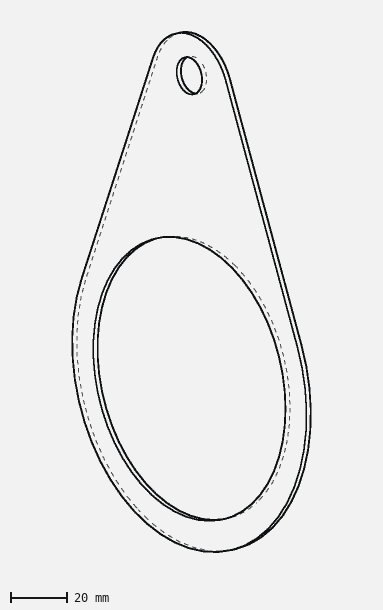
import cadquery as cq
import math

height = 189.8
width = 125.0
thickness = 2.0
tip_radius = 21.0
ring_bore = 102.5
hanging_hole = 13.5
hole_below_top = 15.4

ring_radius = width / 2
top_z = height - ring_radius
tip_z = top_z - tip_radius
hole_z = top_z - hole_below_top

normal_sin = (ring_radius - tip_radius) / tip_z
normal_cos = math.sqrt(1 - normal_sin**2)
ring_tangent = (ring_radius * normal_cos, ring_radius * normal_sin)
tip_tangent = (tip_radius * normal_cos, tip_z + tip_radius * normal_sin)


def mirrored(point):
    return (-point[0], point[1])


def make_plate():
    """Teardrop plate, centred on its thickness along Y."""
    return (
        cq.Workplane("XZ")
        .moveTo(*ring_tangent)
        .lineTo(*tip_tangent)
        .threePointArc((0, top_z), mirrored(tip_tangent))
        .lineTo(*mirrored(ring_tangent))
        .threePointArc((0, -ring_radius), ring_tangent)
        .close()
        .extrude(thickness / 2, both=True)
    )


def make_bore(diameter, center_z):
    """Cylinder that cuts right through the plate."""
    return (
        cq.Workplane("XZ")
        .center(0, center_z)
        .circle(diameter / 2)
        .extrude(thickness, both=True)
    )


result = make_plate().cut(make_bore(ring_bore, 0)).cut(make_bore(hanging_hole, hole_z))